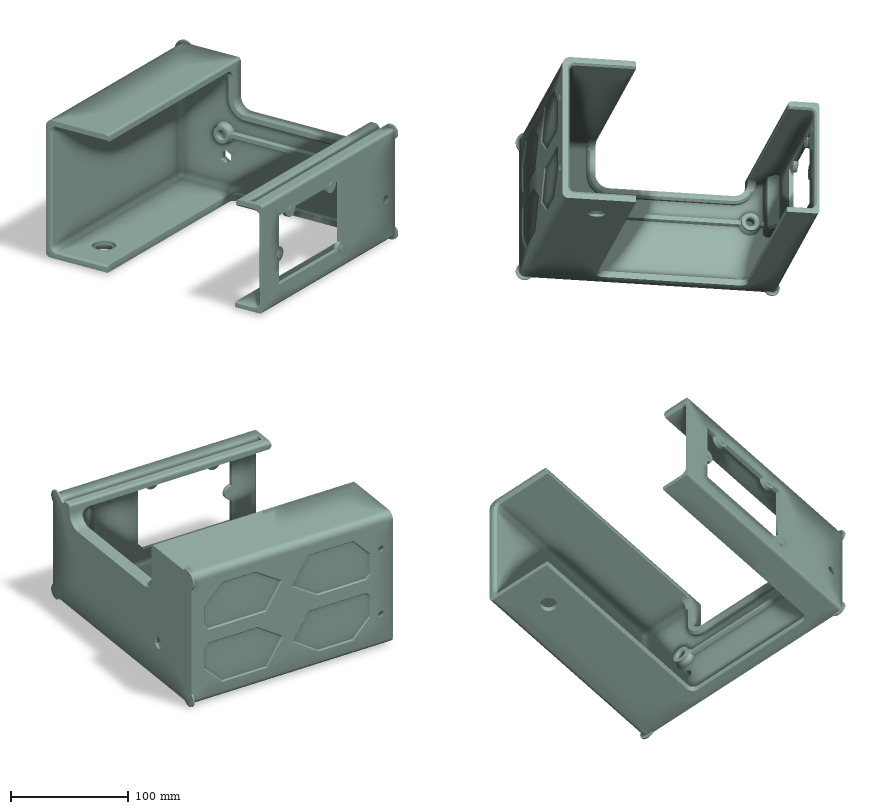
import cadquery as cq
LENGTH = 202.3
BODY_WIDTH = 222.5
LEFT_HEIGHT = 127.5
RIGHT_HEIGHT = 100.1
LEFT_ARM_END = 63.8
RIGHT_ARM_START = 194.5
RIGHT_ROOF_START = 195.7
TOP_CORNER_RADIUS = 6.6
BOTTOM_CORNER_RADIUS = 4.5
RIGHT_CORNER_RADIUS = 2.7
FLANGE_EDGE_RADIUS = 2.3
OVERCUT = 11.5

LEFT_WALL = 6.5
LEFT_FLOOR = 6.6
LEFT_ROOF = 6.6
RIGHT_WALL = 4.0
RIGHT_FLOOR = 4.8
RIGHT_ROOF = 6.5
MIDDLE_FLOOR = 5.5
INNER_CORNER_RADIUS = 4.5
MOUTH_CHAMFER = 1.8
RIGHT_FLOOR_CHAMFER = 1.0

PLATE_THICKNESS = 6.9
PLATE_FRONT = LENGTH - PLATE_THICKNESS
LIP_DEPTH = 12.0
LIP_FRONT = LENGTH - LIP_DEPTH
LIP_WIDTH = 6.6
LIP_CHAMFER = 2.0
NOTCH_BOTTOM = 80.7
NOTCH_RADIUS = 12.3
SILL_CORNER_RADIUS = 6.9
LIP_FILLET = 7.8
LEFT_PLATE_FILLET = 5.3
RIGHT_PLATE_FILLET = 4.0
RIGHT_FLOOR_FILLET = 8.0
LEFT_SILL_RADIUS = 6.2
RIGHT_SILL_RADIUS = 12.8

EAR_THICKNESS = 1.5
EARS = [
    (6.6, LEFT_HEIGHT - 6.9, 9.5),
    (4.5, 4.5, 7.5),
    (BODY_WIDTH - 4.0, RIGHT_HEIGHT - 3.7, 7.0),
    (BODY_WIDTH - 3.7, 3.7, 6.9),
]

BOSS_X = (52.5, 198.2)
BOSS_Z = 57.8
BOSS_HEIGHT = 6.9
BOSS_DIAMETER = 15.5
BOSS_FLARE_DIAMETER = 20.1
BOSS_FLARE_HEIGHT = 4.1
BOSS_HOLE_DIAMETER = 7.3
BOSS_HOLE_CHAMFER = 1.1
BOSS_HOLE_DEPTH = 9.1
RIB_BASE = 6.2
RIB_TOP = 3.7
RIB_HEIGHT = 3.5
HEX_X = 53.3
HEX_Z = 35.5
HEX_CORNER_DIAMETER = 12.0

WEDGE_THICKNESS = 8.5
WEDGE_BOTTOM = 47.0
WEDGE_CHAMFER = 2.0
WEDGE_PLATE_FILLET = 1.5
WEDGE_FACE_START = 173.7
WEDGE_RAMP_START = 161.2
WEDGE_HOLE_Y = 188.1
WEDGE_HOLE_Z = 38.9
WEDGE_HOLE_DIAMETER = 7.8

GROOVE_LEFT = 203.7
GROOVE_BOTTOM = 207.3
GROOVE_RIGHT = 211.7
GROOVE_DEPTH = 4.0
GROOVE_START = 4.3

WINDOW_FRONT = 25.4
WINDOW_BACK = 119.5
WINDOW_BOTTOM = 18.3
WINDOW_TOP = 82.3
STUDS = [(121.5, 17.4), (25.4, 46.6), (105.5, 81.8), (43.7, 81.8)]
STUD_DIAMETER = 6.6
STUD_HEIGHT = 1.0
STUD_LOBE_RADIUS = 6.9
STUD_HOLE_DIAMETER = 2.0
RIGHT_HOLES = [(11.7, 81.0), (11.7, 19.0)]
RIGHT_HOLE_DIAMETER = 3.2
RIGHT_HOLE_DEPTH = 2.3

LEFT_HOLES = [(12.0, 95.8), (12.0, 31.5)]
LEFT_HOLE_DIAMETER = 5.5
LEFT_HOLE_DEPTH = 3.5
PANEL_DEPTH = 1.1
PANEL_TAPER = 45
PANELS = [
    [(189.7, 74.8), (189.7, 94.2), (171.5, 112.2), (137.9, 112.2), (110.9, 95.0), (127.0, 69.5), (185.5, 69.5)],
    [(189.5, 51.5), (189.5, 31.8), (171.5, 14.0), (126.2, 14.0), (109.7, 40.0), (135.8, 57.0), (185.5, 57.0)],
    [(22.5, 73.8), (22.5, 94.2), (39.5, 112.2), (85.3, 112.2), (101.7, 86.0), (76.0, 69.5), (26.7, 69.5)],
    [(22.5, 52.5), (22.5, 31.8), (39.5, 14.0), (74.5, 14.0), (100.8, 31.3), (84.5, 57.0), (26.7, 57.0)],
]

FLOOR_HOLE_X = 36.3
FLOOR_HOLE_Y = 34.7
FLOOR_HOLE_DIAMETER = 14.6
FLOOR_SINK_DIAMETER = 20.5
FLOOR_SINK_DEPTH = 2.0


def box(x0, x1, y0, y1, z0, z1):
    """Block between two opposite corners."""
    return cq.Workplane("XY").box(x1 - x0, y1 - y0, z1 - z0, centered=False).translate((x0, y0, z0))


def facing_front(y):
    """XZ sketch plane at depth y; extruding runs toward the front."""
    return cq.Workplane("XZ", origin=(0, y, 0))


def facing_right(x):
    """YZ sketch plane at x; extruding runs toward +X."""
    return cq.Workplane("YZ", origin=(x, 0, 0))


def notch(grow, y0, y1):
    """Round-cornered space between the arms above the back plate, widened by grow."""
    space = box(LEFT_ARM_END - grow, RIGHT_ROOF_START + grow, y0, y1, NOTCH_BOTTOM - grow, LEFT_HEIGHT + OVERCUT)
    return space.edges("|Y and <Z").fillet(NOTCH_RADIUS + grow)


def outer_body():
    """Solid envelope: tall left block, lower remainder, notch cut out of the middle."""
    left = box(0, LEFT_ARM_END, 0, LENGTH, 0, LEFT_HEIGHT)
    left = left.edges("|Y and <X and >Z").fillet(TOP_CORNER_RADIUS)
    left = left.edges("|Y and <X and <Z").fillet(BOTTOM_CORNER_RADIUS)
    left = left.edges("|Y and >X and >Z").fillet(FLANGE_EDGE_RADIUS)
    right = box(LEFT_ARM_END, BODY_WIDTH, 0, LENGTH, 0, RIGHT_HEIGHT)
    right = right.edges("|Y and >X").fillet(RIGHT_CORNER_RADIUS)
    right = right.cut(notch(0, -OVERCUT, LENGTH + OVERCUT))
    right = right.edges("|Y and >Z").edges("<X").fillet(FLANGE_EDGE_RADIUS)
    return left.union(right)


def rounded_box(x0, x1, y0, y1, z0, z1, wall_side, radius):
    """Block whose two lengthwise edges on the wall side are rounded."""
    return box(x0, x1, y0, y1, z0, z1).edges("|Y").edges(wall_side).fillet(radius)


def arm_channel(x0, x1, z0, z1, wall_side, floor_chamfer):
    """Space inside a C-shaped arm in front of the lip, with a chamfered mouth."""
    channel = rounded_box(x0, x1, -OVERCUT, LIP_FRONT, z0, z1, wall_side, INNER_CORNER_RADIUS)
    channel = channel.edges(">Y and >Z").fillet(LIP_FILLET)
    mouth = rounded_box(
        x0 - MOUTH_CHAMFER, x1 + MOUTH_CHAMFER, -OVERCUT, MOUTH_CHAMFER,
        z0 - floor_chamfer, z1 + MOUTH_CHAMFER,
        wall_side, INNER_CORNER_RADIUS + MOUTH_CHAMFER,
    )
    return channel.union(mouth.faces(">Y").chamfer(MOUTH_CHAMFER))


def plate_pocket(x0, x1, z0, z1, wall_side, floor_fillet, wall_fillet):
    """Space running back to the plate, rounded into the plate along the arm's walls."""
    pocket = box(x0, x1, 0, PLATE_FRONT, z0, z1)
    pocket = pocket.edges("|X and >Y and <Z").fillet(floor_fillet)
    pocket = pocket.edges("|X and >Y and >Z").fillet(wall_fillet)
    return pocket.faces(wall_side).edges(">Y").fillet(wall_fillet)


def middle_pocket():
    """Space above the sill, with its back corners trimming the arms' floor fillets."""
    pocket = box(LEFT_ARM_END, RIGHT_ARM_START, 0, PLATE_FRONT, MIDDLE_FLOOR, NOTCH_BOTTOM)
    pocket = pocket.edges("|Z and >Y and <X").fillet(LEFT_SILL_RADIUS)
    return pocket.edges("|Z and >Y and >X").fillet(RIGHT_SILL_RADIUS)


def interior():
    """Everything removed from inside the envelope."""
    left_top = LEFT_HEIGHT - LEFT_ROOF
    right_top = RIGHT_HEIGHT - RIGHT_ROOF
    right_inside = BODY_WIDTH - RIGHT_WALL
    pockets = plate_pocket(
        LEFT_WALL, LEFT_ARM_END + LEFT_SILL_RADIUS, LEFT_FLOOR, left_top,
        "<X", LEFT_PLATE_FILLET, LEFT_PLATE_FILLET,
    )
    pockets = pockets.union(plate_pocket(
        RIGHT_ARM_START - RIGHT_SILL_RADIUS, right_inside, RIGHT_FLOOR, right_top,
        ">X", RIGHT_FLOOR_FILLET, RIGHT_PLATE_FILLET,
    ))
    pockets = pockets.union(middle_pocket())
    lip = notch(LIP_WIDTH, LIP_FRONT, LENGTH).faces("<Y").edges("not(>Z)").chamfer(LIP_CHAMFER)
    pockets = pockets.cut(lip).cut(notch(LIP_WIDTH, 0, LIP_FRONT))
    gap = box(LEFT_ARM_END, RIGHT_ARM_START, -OVERCUT, LIP_FRONT, -OVERCUT, LEFT_HEIGHT + OVERCUT)
    gap = gap.edges("|Z and >Y").fillet(SILL_CORNER_RADIUS)
    left = arm_channel(LEFT_WALL, LEFT_ARM_END + OVERCUT, LEFT_FLOOR, left_top, "<X", MOUTH_CHAMFER)
    right = arm_channel(
        RIGHT_ARM_START - OVERCUT, right_inside, RIGHT_FLOOR, right_top, ">X", RIGHT_FLOOR_CHAMFER
    )
    return pockets.union(gap).union(left).union(right)


def ears():
    """Thin discs behind the four outer corners."""
    discs = cq.Workplane("XZ", origin=(0, LENGTH, 0))
    for x, z, radius in EARS:
        discs = discs.union(facing_front(LENGTH).center(x, z).circle(radius).extrude(EAR_THICKNESS))
    return discs


def wedge():
    """Thickened patch of the right wall: ramped at the front, chamfered below, coved into the plate."""
    wall = BODY_WIDTH - RIGHT_WALL / 2
    face = BODY_WIDTH - RIGHT_WALL - WEDGE_THICKNESS
    back = LENGTH - PLATE_THICKNESS / 2
    top = RIGHT_HEIGHT - RIGHT_ROOF / 2
    outline = [(wall, WEDGE_RAMP_START), (face, WEDGE_FACE_START), (face, back), (wall, back)]
    base = cq.Workplane("XY", origin=(0, 0, WEDGE_BOTTOM))
    block = base.polyline(outline).close().extrude(top - WEDGE_BOTTOM)
    block = block.faces("<Z").edges("not(>X or >Y)").chamfer(WEDGE_CHAMFER)
    cove_x = face - WEDGE_PLATE_FILLET
    cove_y = PLATE_FRONT - WEDGE_PLATE_FILLET
    cove_base = cq.Workplane("XY", origin=(0, 0, WEDGE_BOTTOM + WEDGE_CHAMFER))
    cove = (
        cove_base.moveTo(face, cove_y)
        .radiusArc((cove_x, PLATE_FRONT), -WEDGE_PLATE_FILLET)
        .lineTo(cove_x, back)
        .lineTo(wall, back)
        .lineTo(wall, cove_y)
        .close()
        .extrude(top - WEDGE_BOTTOM - WEDGE_CHAMFER)
    )
    return block.union(cove)


def rib():
    """Trapezoidal rib on the plate, from the left boss to the wedge."""
    end = BODY_WIDTH - RIGHT_WALL - WEDGE_THICKNESS
    outline = [(PLATE_FRONT, BOSS_Z - RIB_BASE / 2), (PLATE_FRONT - RIB_HEIGHT, BOSS_Z - RIB_TOP / 2),
               (PLATE_FRONT - RIB_HEIGHT, BOSS_Z + RIB_TOP / 2), (PLATE_FRONT, BOSS_Z + RIB_BASE / 2)]
    return facing_right(BOSS_X[0]).polyline(outline).close().extrude(end - BOSS_X[0])


def boss(x):
    """Screw boss with a conical foot."""
    base = facing_front(PLATE_FRONT).center(x, BOSS_Z)
    foot = base.circle(BOSS_FLARE_DIAMETER / 2).workplane(offset=BOSS_FLARE_HEIGHT)
    foot = foot.circle(BOSS_DIAMETER / 2).loft()
    return base.circle(BOSS_DIAMETER / 2).extrude(BOSS_HEIGHT).union(foot)


def boss_hole(x):
    """Blind hole down the middle of a boss, chamfered at its mouth."""
    mouth = PLATE_FRONT - BOSS_HEIGHT
    hole = facing_front(mouth + BOSS_HOLE_DEPTH).center(x, BOSS_Z)
    hole = hole.circle(BOSS_HOLE_DIAMETER / 2).extrude(BOSS_HOLE_DEPTH)
    cone = cq.Solid.makeCone(
        BOSS_HOLE_DIAMETER / 2 + BOSS_HOLE_CHAMFER, BOSS_HOLE_DIAMETER / 2, BOSS_HOLE_CHAMFER,
        pnt=cq.Vector(x, mouth, BOSS_Z), dir=cq.Vector(0, 1, 0),
    )
    return hole.union(cq.Workplane(cone))


def roof_groove():
    """V groove that runs out through the back of the right arm's roof."""
    outline = [(GROOVE_LEFT, RIGHT_HEIGHT), (GROOVE_BOTTOM, RIGHT_HEIGHT - GROOVE_DEPTH), (GROOVE_RIGHT, RIGHT_HEIGHT)]
    return facing_front(LENGTH).polyline(outline).close().extrude(LENGTH - GROOVE_START)


def window():
    """Opening in the right wall, leaving a round lobe of wall around each stud."""
    opening = box(BODY_WIDTH - RIGHT_WALL, BODY_WIDTH, WINDOW_FRONT, WINDOW_BACK, WINDOW_BOTTOM, WINDOW_TOP)
    lobes = facing_right(BODY_WIDTH - RIGHT_WALL).pushPoints(STUDS).circle(STUD_LOBE_RADIUS).extrude(RIGHT_WALL)
    return opening.cut(lobes)


def wall_holes(x, points, diameter, depth):
    """Round holes running along +X from x."""
    return facing_right(x).pushPoints(points).circle(diameter / 2).extrude(depth)


def floor_hole():
    """Through hole in the left floor with a shallow counterbore on the inside."""
    plane = cq.Workplane("XY").center(FLOOR_HOLE_X, FLOOR_HOLE_Y)
    through = plane.circle(FLOOR_HOLE_DIAMETER / 2).extrude(LEFT_FLOOR)
    sink = plane.workplane(offset=LEFT_FLOOR - FLOOR_SINK_DEPTH)
    return through.union(sink.circle(FLOOR_SINK_DIAMETER / 2).extrude(FLOOR_SINK_DEPTH))


result = outer_body().cut(interior())
result = result.union(ears()).union(wedge()).union(rib())
for boss_x in BOSS_X:
    result = result.union(boss(boss_x)).cut(boss_hole(boss_x))
hexagon = facing_front(LENGTH).center(HEX_X, HEX_Z).transformed(rotate=(0, 0, 90))
result = result.cut(hexagon.polygon(6, HEX_CORNER_DIAMETER).extrude(PLATE_THICKNESS))
result = result.cut(roof_groove()).cut(floor_hole())

right_inner_face = BODY_WIDTH - RIGHT_WALL
result = result.cut(window())
result = result.union(wall_holes(BODY_WIDTH, STUDS, STUD_DIAMETER, STUD_HEIGHT))
result = result.cut(wall_holes(right_inner_face, STUDS, STUD_HOLE_DIAMETER, RIGHT_WALL))
result = result.cut(wall_holes(right_inner_face, RIGHT_HOLES, RIGHT_HOLE_DIAMETER, RIGHT_HOLE_DEPTH))
result = result.cut(wall_holes(right_inner_face, [(WEDGE_HOLE_Y, WEDGE_HOLE_Z)], WEDGE_HOLE_DIAMETER, RIGHT_WALL))

result = result.cut(wall_holes(0, LEFT_HOLES, LEFT_HOLE_DIAMETER, LEFT_HOLE_DEPTH))
for corners in PANELS:
    result = result.cut(facing_right(0).polyline(corners).close().extrude(PANEL_DEPTH, taper=PANEL_TAPER))